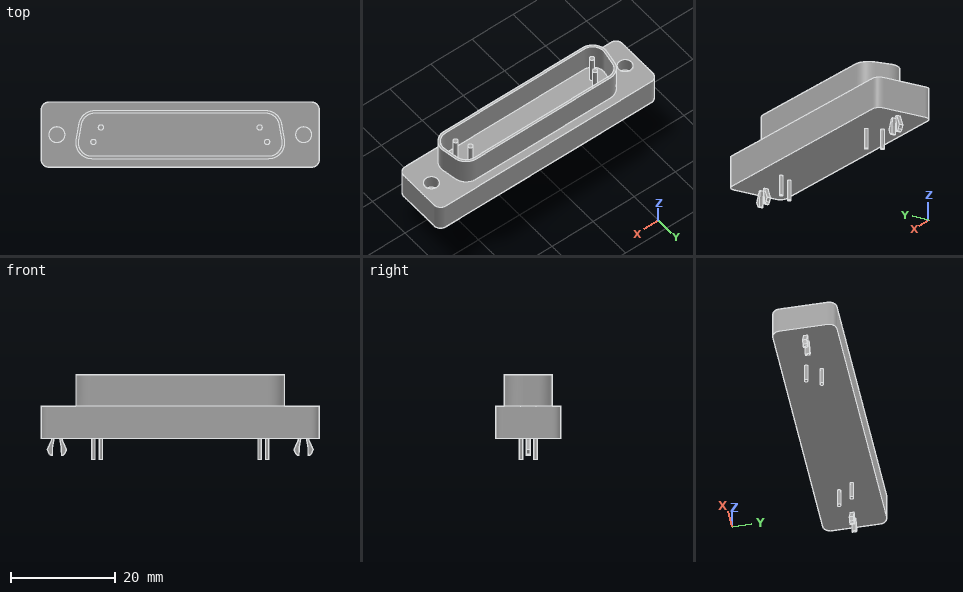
import cadquery as cq
import math

LENGTH = 53.2
WIDTH = 12.5
BASE_HEIGHT = 6.2
BASE_CORNER_RADIUS = 1.55

SHELL_LENGTH = 39.9
SHELL_WIDTH = 9.2
SHELL_HEIGHT = 6.0
SHELL_WALL = 0.5
SHELL_CORNER_RADIUS = 3.1
SHELL_SIDE_ANGLE = math.radians(10)
SHELL_TOP = BASE_HEIGHT + SHELL_HEIGHT
CAVITY_FLOOR = BASE_HEIGHT

ROW_OFFSET = 1.4
BACK_ROW_X = 15.15
FRONT_ROW_X = 16.6
PIN_DIAMETER = 1.0
PIN_TOP = SHELL_TOP
TAIL_DIAMETER = 0.7
TAIL_LENGTH = 4.0

MOUNT_X = 23.55
HOLE_DIAMETER = 3.05
HOLE_DEPTH = 3.1
CLIP_THICKNESS = 0.8

PRONG_INNER_ROOT = (0.55, 0)
PRONG_OUTER_ROOT = (1.0, 0)
PRONG_NECK = (1.05, -0.3)
PRONG_BARB = (1.85, -2.1)
PRONG_BARB_END = (1.5, -2.85)
PRONG_TIP_OUTER = (1.15, -3.2)
PRONG_TIP_INNER = (0.85, -3.2)
PRONG_INNER_BEND = (0.8, -1.55)


def d_prism(inset, bottom, top):
    """Rounded trapezoid prism, wider towards -Y, inset from the shell's outside."""
    radius = SHELL_CORNER_RADIUS - inset
    half_width = SHELL_WIDTH / 2 - inset
    arc_x = SHELL_LENGTH / 2 - SHELL_CORNER_RADIUS
    arc_y = radius - half_width
    slope = math.tan(SHELL_SIDE_ANGLE)
    side_x_at_arc = arc_x + radius / math.cos(SHELL_SIDE_ANGLE)
    front_x = side_x_at_arc + (arc_y + half_width) * slope
    back_x = side_x_at_arc - (half_width - arc_y) * slope
    return (
        cq.Workplane("XY", origin=(0, 0, bottom))
        .polyline([
            (-front_x, -half_width),
            (front_x, -half_width),
            (back_x, half_width),
            (-back_x, half_width),
        ])
        .close()
        .extrude(top - bottom)
        .edges("|Z")
        .fillet(radius)
    )


def make_base():
    return (
        cq.Workplane("XY")
        .rect(LENGTH, WIDTH)
        .extrude(BASE_HEIGHT)
        .edges("|Z")
        .fillet(BASE_CORNER_RADIUS)
    )


def make_mounting_holes():
    return (
        cq.Workplane("XY", origin=(0, 0, BASE_HEIGHT - HOLE_DEPTH))
        .pushPoints([(-MOUNT_X, 0), (MOUNT_X, 0)])
        .circle(HOLE_DIAMETER / 2)
        .extrude(HOLE_DEPTH)
    )


def make_contact(x, y):
    pin = (
        cq.Workplane("XY", origin=(x, y, 0))
        .circle(PIN_DIAMETER / 2)
        .extrude(PIN_TOP)
    )
    tail = (
        cq.Workplane("XY", origin=(x, y, 0))
        .circle(TAIL_DIAMETER / 2)
        .extrude(-TAIL_LENGTH)
    )
    return pin.union(tail)


def make_prong():
    """Barbed prong on the +X side of a clip centred on the Z axis."""
    return (
        cq.Workplane("XZ")
        .polyline([
            PRONG_INNER_ROOT,
            PRONG_OUTER_ROOT,
            PRONG_NECK,
            PRONG_BARB,
            PRONG_BARB_END,
            PRONG_TIP_OUTER,
            PRONG_TIP_INNER,
            PRONG_INNER_BEND,
        ])
        .close()
        .extrude(CLIP_THICKNESS / 2, both=True)
    )


body = make_base().union(d_prism(0, BASE_HEIGHT, SHELL_TOP))
body = body.cut(d_prism(SHELL_WALL, CAVITY_FLOOR, SHELL_TOP))
body = body.cut(make_mounting_holes())

for side in (-1, 1):
    body = body.union(make_contact(side * BACK_ROW_X, ROW_OFFSET))
    body = body.union(make_contact(side * FRONT_ROW_X, -ROW_OFFSET))

prong = make_prong()
clip = prong.union(prong.mirror("YZ"))
for side in (-1, 1):
    body = body.union(clip.translate((side * MOUNT_X, 0, 0)))

result = body